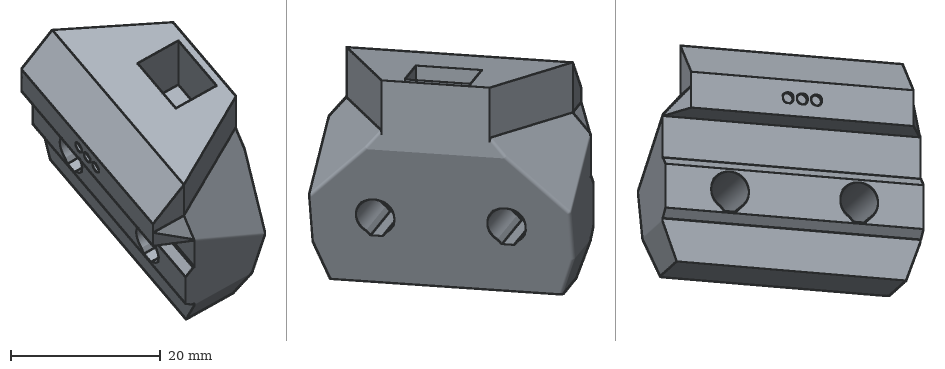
import cadquery as cq
import math

width = 36.0
height = 30.0
body_depth = 14.0
base_width = 32.0
base_taper_height = 5.5

back_bend_z = 20.25
back_lean = 6.0

neck_width = 31.0
neck_base_z = 23.0
neck_angle = 30.0
shoulder_angle = 52.8
edge_radius = 0.5

hood_reach = 5.0
hood_bottom_z = 20.0
hood_bevel = 5.0
gusset_overhang = 2.38

rail_reach = 1.45
rail_ledge = 0.2
rail_bottom_z = 5.8
rail_top_z = 14.22
rail_bottom_bevel = 1.1
rail_top_bevel = 1.22

bolt_diameter = 5.25
bolt_spacing = 18.0
bolt_z = 10.0
notch_start_drop = 2.25
notch_end_drop = 2.88
notch_end_width = 1.65

pin_diameter = 1.5
pin_count = 3
pin_spacing = 1.98
pin_z = 22.5
pin_depth = 0.5

pocket_width = 9.0
pocket_length = 6.6
pocket_back_wall = 1.15
pocket_depth = 10.0


def extrude_across(points, span):
    """Prism along X, centred on x = 0, from a (y, z) outline."""
    return cq.Workplane("YZ").polyline(points).close().extrude(span / 2, both=True)


def both_sides(solid):
    """The solid together with its mirror image across x = 0."""
    return solid.union(solid.mirror("YZ"))


def make_block():
    side_outline = [
        (0, 0),
        (body_depth - back_lean, 0),
        (body_depth, back_bend_z),
        (body_depth, height),
        (0, height),
    ]
    front_outline = [
        (-base_width / 2, 0),
        (base_width / 2, 0),
        (width / 2, base_taper_height),
        (width / 2, height),
        (-width / 2, height),
        (-width / 2, base_taper_height),
    ]
    front_prism = cq.Workplane("XZ").polyline(front_outline).close().extrude(-body_depth)
    return extrude_across(side_outline, width).intersect(front_prism)


def make_shoulder_cutter():
    """Removes the corners outside the neck walls and above the shoulders."""
    turn = math.radians(neck_angle)
    outward = (math.cos(turn), math.sin(turn), 0)
    along_wall = (math.sin(turn), -math.cos(turn), 0)
    wall_base = cq.Plane(origin=(neck_width / 2, 0, neck_base_z), xDir=outward, normal=along_wall)
    drop = width * math.tan(math.radians(shoulder_angle))
    outline = [(0, height), (0, 0), (width, -drop), (width, height)]
    cutter = cq.Workplane(wall_base).polyline(outline).close().extrude(width, both=True)
    return both_sides(cutter)


def round_body_edges(body):
    """Rounds the edges where back, sides, shoulders and base taper meet."""
    below_neck = cq.selectors.BoxSelector(
        (-width, edge_radius, edge_radius),
        (width, 2 * body_depth, neck_base_z - edge_radius),
    )
    bend = cq.selectors.ParallelDirSelector(cq.Vector(1, 0, 0))
    return body.edges(below_neck - bend).fillet(edge_radius)


def make_hood():
    outline = [
        (0, hood_bottom_z),
        (-hood_reach, hood_bottom_z),
        (-hood_reach, height - hood_bevel),
        (0, height),
    ]
    return extrude_across(outline, neck_width)


def make_gussets():
    """Triangular webs between the hood ends and the body, following the shoulder slope."""
    inner_x = neck_width / 2
    outer_x = inner_x + gusset_overhang
    slope = math.tan(math.radians(shoulder_angle)) * math.cos(math.radians(neck_angle))
    outer_z = neck_base_z - gusset_overhang * slope
    plan = [(inner_x, 0), (outer_x, 0), (inner_x, -hood_reach)]
    section = [
        (inner_x, hood_bottom_z),
        (outer_x, hood_bottom_z),
        (outer_x, outer_z),
        (inner_x, neck_base_z),
    ]
    prism = cq.Workplane("XY").polyline(plan).close().extrude(height)
    wedge = cq.Workplane("XZ").polyline(section).close().extrude(hood_reach)
    return both_sides(prism.intersect(wedge))


def make_rail():
    outline = [
        (0, rail_bottom_z),
        (-rail_ledge, rail_bottom_z),
        (-rail_reach, rail_bottom_z + rail_bottom_bevel),
        (-rail_reach, rail_top_z - rail_top_bevel),
        (-rail_ledge, rail_top_z),
        (0, rail_top_z),
    ]
    return extrude_across(outline, width)


def make_bolt_holes():
    radius = bolt_diameter / 2
    notch_start_x = math.sqrt(radius**2 - notch_start_drop**2)
    hole = (
        cq.Workplane("XZ", origin=(bolt_spacing / 2, -rail_reach, bolt_z))
        .moveTo(-notch_start_x, -notch_start_drop)
        .threePointArc((0, radius), (notch_start_x, -notch_start_drop))
        .lineTo(notch_end_width / 2, -notch_end_drop)
        .lineTo(-notch_end_width / 2, -notch_end_drop)
        .close()
        .extrude(-(rail_reach + body_depth))
    )
    return both_sides(hole)


def make_pin_holes():
    return (
        cq.Workplane("XZ", origin=(0, -hood_reach, pin_z))
        .rarray(pin_spacing, 0.35, pin_count, 1)
        .circle(pin_diameter / 2)
        .extrude(-pin_depth)
    )


def make_pocket():
    centre_y = body_depth - pocket_back_wall - pocket_length / 2
    return (
        cq.Workplane("XY", origin=(0, centre_y, height))
        .rect(pocket_width, pocket_length)
        .extrude(-pocket_depth)
    )


body = round_body_edges(make_block().cut(make_shoulder_cutter()))
body = body.union(make_hood()).union(make_gussets()).union(make_rail())
result = body.cut(make_bolt_holes()).cut(make_pin_holes()).cut(make_pocket())